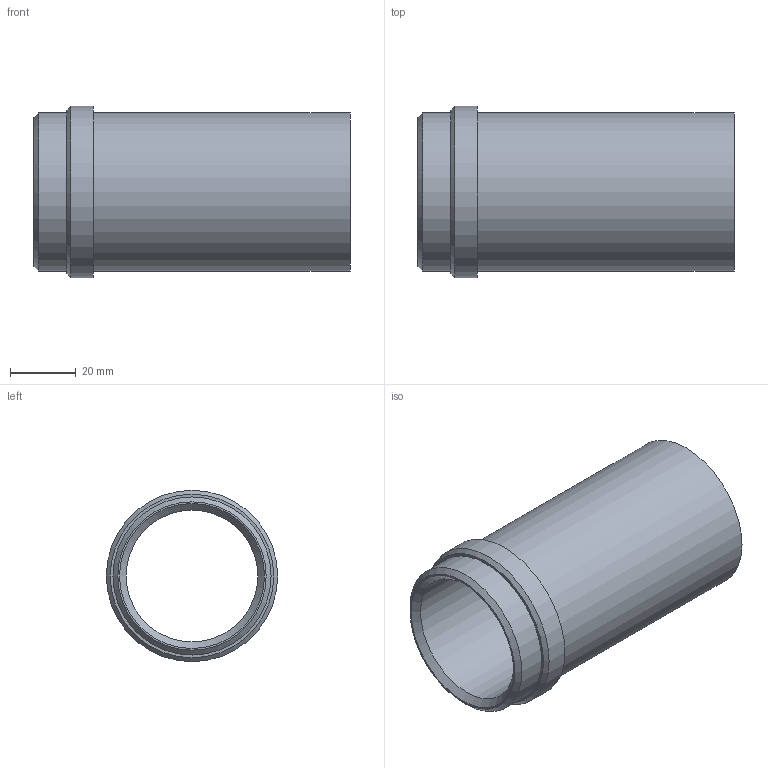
import cadquery as cq

total_length = 96.0
collar_start = 10.0
collar_end = 18.0

tube_diameter = 48.0
collar_diameter = 52.0
bore_diameter = 40.0
mouth_diameter = 44.0

nose_chamfer = 1.5
collar_chamfer = 1.2
mouth_cone_depth = 2.0


def cylinder(diameter, start, end):
    """Solid cylinder on the X axis between two X positions."""
    return cq.Workplane("YZ").workplane(offset=start).circle(diameter / 2).extrude(end - start)


def make_tube():
    """Full-length outer body, chamfered at the mouth end."""
    return cylinder(tube_diameter, 0, total_length).faces("<X").chamfer(nose_chamfer)


def make_collar():
    """Raised ring, chamfered on the side facing the mouth."""
    return cylinder(collar_diameter, collar_start, collar_end).faces("<X").chamfer(collar_chamfer)


def make_bore():
    """Through bore with a conical lead-in at the mouth."""
    mouth_radius = mouth_diameter / 2
    bore_radius = bore_diameter / 2
    return (
        cq.Workplane("XY")
        .lineTo(0, mouth_radius)
        .lineTo(mouth_cone_depth, bore_radius)
        .lineTo(total_length, bore_radius)
        .lineTo(total_length, 0)
        .close()
        .revolve(360, (0, 0, 0), (1, 0, 0))
    )


result = make_tube().union(make_collar()).cut(make_bore())